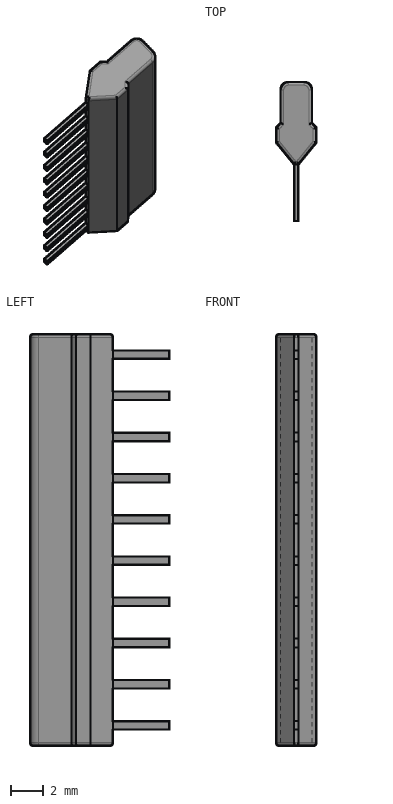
import cadquery as cq

body_length = 25.4
body_width = 2.5
body_depth = 5.1
back_width = 1.95
back_corner_radius = 0.5
step_start = 2.55
step_end = 2.82
taper_start = 3.73
end_edge_radius = 0.2

pin_count = 10
pin_pitch = 2.55
pin_thickness = 0.25
pin_width = 0.53
pin_length = 3.48

front_y = -body_depth


def make_body():
    half_width = body_width / 2
    half_back = back_width / 2
    half_tip = pin_thickness / 2
    right_side = [
        (half_back, 0),
        (half_back, -step_start),
        (half_width, -step_end),
        (half_width, -taper_start),
        (half_tip, front_y),
    ]
    left_side = [(-x, y) for x, y in reversed(right_side)]
    body = cq.Workplane("XY").polyline(right_side + left_side).close().extrude(body_length / 2, both=True)
    body = body.faces(">Y").edges("|Z").fillet(back_corner_radius)
    return body.faces("<Z or >Z").edges().fillet(end_edge_radius)


def make_pins():
    row = cq.Workplane("XZ", origin=(0, front_y, 0)).rarray(pin_pitch, pin_pitch, 1, pin_count)
    return row.rect(pin_thickness, pin_width).extrude(pin_length)


result = make_body().union(make_pins())